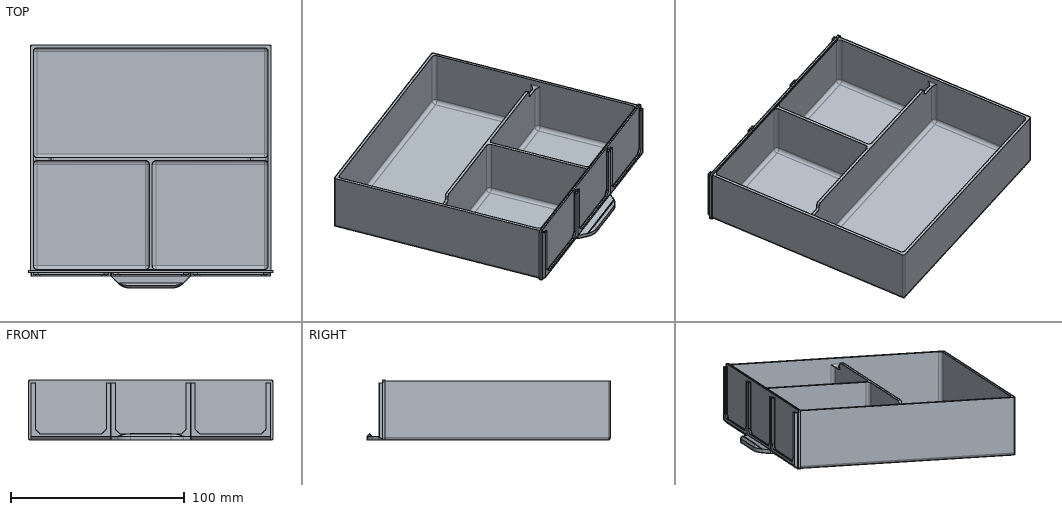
import cadquery as cq
import math

PLATE_WIDTH = 140.62
PLATE_HEIGHT = 34.66
OVERALL_DEPTH = 139.78

PLATE_THICKNESS = 1.25
PLATE_CORNER = 1.2

BODY_INSET = 1.1
BODY_WIDTH = PLATE_WIDTH - 2 * BODY_INSET
BODY_HEIGHT = 34.1
BODY_CORNER_RADIUS = 1.0
BODY_BOTTOM_RADIUS = 1.5
WALL = 1.7
FRONT_WALL = 1.8
FLOOR = 1.2
POCKET_RADIUS = 2.2

HOLDER_COUNT = 3
HOLDER_PITCH = 45.9
HOLDER_GAP = 0.3
HOLDER_WIDTH = HOLDER_PITCH - HOLDER_GAP
HOLDER_DEPTH = 2.0
HOLDER_TOP = 33.0
LIP_THICKNESS = 1.0
WINDOW_BORDER = 2.4
WINDOW_BOTTOM = 3.6
WINDOW_CHAMFER = 2.7
SLOT_SIDE = 1.2
SLOT_BOTTOM = 2.4

PULL_DEPTH = 6.9
PULL_HALF_WIDTH = HOLDER_WIDTH / 2
PULL_THICKNESS = 2.2
PULL_RADIUS = 10.0
RIDGE_HEIGHT = 1.5
RIDGE_SLOPE_DEPTH = 1.4

BODY_BACK = OVERALL_DEPTH - HOLDER_DEPTH - PULL_DEPTH

CROSS_WALL_FRONT = 64.4
PARTITION_TOP = 33.7
NOTCH_LENGTH = 10.2
NOTCH_DEPTH = 4.4
NOTCH_RADIUS = 1.4


def block(x0, x1, y0, y1, z0, z1):
    """Axis-aligned box from its limits."""
    return cq.Workplane("XY").box(x1 - x0, y1 - y0, z1 - z0, centered=False).translate((x0, y0, z0))


def tub(x0, x1, y0, y1, z0, z1, corner_radius, bottom_radius):
    """Block with rounded upright corners and bottom roundings that meet in mitres."""
    limits = (x0, x1, y0, y1, z0, z1)
    corners = block(*limits).edges("|Z").fillet(corner_radius)
    along_x = block(*limits).edges("|X and <Z").fillet(bottom_radius)
    along_y = block(*limits).edges("|Y and <Z").fillet(bottom_radius)
    return corners.intersect(along_x).intersect(along_y)


def pocket(x0, x1, y0, y1):
    """Compartment cutter with rounded upright corners and a rounded floor."""
    return block(x0, x1, y0, y1, FLOOR, PLATE_HEIGHT).edges("|Z or <Z").fillet(POCKET_RADIUS)


def make_body():
    """Solid tray block, square at the front, with the wider front plate."""
    half = BODY_WIDTH / 2
    overhang = 2 * BODY_BOTTOM_RADIUS
    body = tub(-half, half, -overhang, BODY_BACK, 0, BODY_HEIGHT, BODY_CORNER_RADIUS, BODY_BOTTOM_RADIUS)
    body = body.cut(block(-half, half, -overhang, 0, 0, BODY_HEIGHT))
    plate = block(-PLATE_WIDTH / 2, PLATE_WIDTH / 2, 0, PLATE_THICKNESS, 0, PLATE_HEIGHT)
    plate = plate.edges("|Y").fillet(PLATE_CORNER)
    return body.union(plate)


def cut_compartments(body):
    """Hollow out one wide rear compartment and two front compartments."""
    side = BODY_WIDTH / 2 - WALL
    cross_back = CROSS_WALL_FRONT + WALL
    body = body.cut(pocket(-side, side, cross_back, BODY_BACK - WALL))
    body = body.cut(pocket(-side, -WALL / 2, FRONT_WALL, CROSS_WALL_FRONT))
    return body.cut(pocket(WALL / 2, side, FRONT_WALL, CROSS_WALL_FRONT))


def make_notch(side):
    """Cutter that lowers the end of the cross partition beside one side wall."""
    outer = BODY_WIDTH / 2 - WALL
    inner = outer - NOTCH_LENGTH
    low = PARTITION_TOP - NOTCH_DEPTH
    r = NOTCH_RADIUS
    profile = (
        cq.Workplane("XZ")
        .moveTo(inner - r, PARTITION_TOP)
        .radiusArc((inner, PARTITION_TOP - r), r)
        .lineTo(inner, low + r)
        .radiusArc((inner + r, low), -r)
        .lineTo(outer - r, low)
        .radiusArc((outer, low + r), -r)
        .lineTo(outer, PLATE_HEIGHT)
        .lineTo(inner - r, PLATE_HEIGHT)
        .close()
    )
    y0 = CROSS_WALL_FRONT - POCKET_RADIUS
    cutter = profile.extrude(-(WALL + 2 * POCKET_RADIUS)).translate((0, y0, 0))
    return cutter if side > 0 else cutter.mirror("YZ")


def cut_partition_tops(body):
    """Lower both partitions below the rim and notch the ends of the cross partition."""
    side = BODY_WIDTH / 2 - WALL
    middle = WALL / 2 + POCKET_RADIUS
    y0 = CROSS_WALL_FRONT - POCKET_RADIUS
    y1 = CROSS_WALL_FRONT + WALL + POCKET_RADIUS
    body = body.cut(block(-side, side, y0, y1, PARTITION_TOP, PLATE_HEIGHT))
    body = body.cut(block(-middle, middle, FRONT_WALL, y0, PARTITION_TOP, PLATE_HEIGHT))
    for end in (-1, 1):
        body = body.cut(make_notch(end))
    return body


def holder_opening(half_width, bottom, front):
    """Cutter from the plate out to Y = front, open upward, with chamfered lower corners."""
    opening = block(-half_width, half_width, front, 0, bottom, PLATE_HEIGHT)
    return opening.edges("|Y and <Z").chamfer(WINDOW_CHAMFER)


def make_holder(x_center):
    """Open-topped label holder: side bars and bottom bar with a thin lip round a window.

    The underside slopes back to the foot of the plate at 45 degrees.
    """
    half = HOLDER_WIDTH / 2
    side_profile = (
        cq.Workplane("YZ")
        .polyline([
            (0, HOLDER_TOP),
            (-HOLDER_DEPTH, HOLDER_TOP),
            (-HOLDER_DEPTH, HOLDER_DEPTH),
            (0, 0),
        ])
        .close()
    )
    holder = side_profile.extrude(HOLDER_WIDTH).translate((-half, 0, 0))
    window = holder_opening(half - WINDOW_BORDER, WINDOW_BOTTOM, -HOLDER_DEPTH)
    slot = holder_opening(half - SLOT_SIDE, SLOT_BOTTOM, LIP_THICKNESS - HOLDER_DEPTH)
    return holder.cut(window).cut(slot).translate((x_center, 0, 0))


def make_pull():
    """Finger pull with a sloping-sided outline and a ridge along its front edge."""
    start = -HOLDER_DEPTH
    front = start - PULL_DEPTH
    arc_x = PULL_RADIUS * math.sin(math.pi / 4)
    arc_y = PULL_RADIUS - PULL_RADIUS * math.cos(math.pi / 4)
    knee = PULL_HALF_WIDTH - (PULL_DEPTH - arc_y)
    flat = knee - arc_x
    top = PULL_THICKNESS + RIDGE_HEIGHT
    outline = (
        cq.Workplane("XY")
        .moveTo(-PULL_HALF_WIDTH, 0)
        .lineTo(-PULL_HALF_WIDTH, start)
        .lineTo(-knee, front + arc_y)
        .radiusArc((-flat, front), -PULL_RADIUS)
        .lineTo(flat, front)
        .radiusArc((knee, front + arc_y), -PULL_RADIUS)
        .lineTo(PULL_HALF_WIDTH, start)
        .lineTo(PULL_HALF_WIDTH, 0)
        .close()
    )
    solid = outline.extrude(top).faces(">Z").edges("not >Y").chamfer(RIDGE_HEIGHT, RIDGE_SLOPE_DEPTH)
    peak = front + RIDGE_SLOPE_DEPTH
    trim = (
        cq.Workplane("YZ")
        .polyline([
            (0, PULL_THICKNESS),
            (peak + RIDGE_SLOPE_DEPTH, PULL_THICKNESS),
            (peak, top),
            (0, top),
        ])
        .close()
        .extrude(PULL_HALF_WIDTH, both=True)
    )
    return solid.cut(trim)


result = cut_partition_tops(cut_compartments(make_body()))
for index in range(HOLDER_COUNT):
    holder_x = (index - (HOLDER_COUNT - 1) / 2) * HOLDER_PITCH
    result = result.union(make_holder(holder_x))
result = result.union(make_pull())